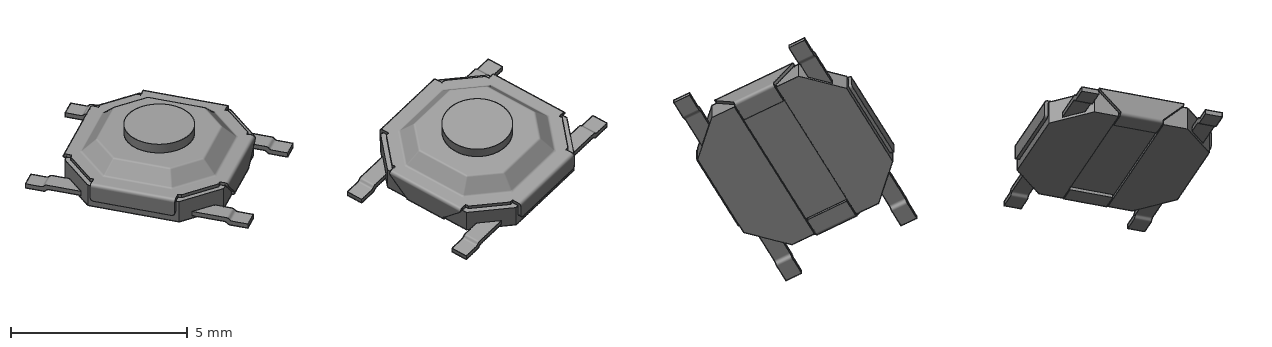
import cadquery as cq
import math

half_length = 3.3
cover_half_x = 2.455
cover_half_y = 2.5

sheet = 0.1
bend_radius = sheet
cover_top = 0.8
body_top = cover_top - sheet
body_half_x = cover_half_x - sheet
body_half_y = cover_half_y - sheet
body_chamfer = 1.0

plate_half = 2.2
plate_chamfer = 0.845
flap_half_width = 1.255
flap_bottom = 0.25
flap_corner_radius = 0.1

tab_half_width = 0.64
tab_length = 0.5
groove_half_width = 0.67

dome_half = 1.99
dome_chamfer = 0.985
dome_top = 1.2
dome_slope = 45.0
dome_radius = 0.1
button_radius = 1.0
button_top = 1.5

lead_width = 0.51
lead_center_y = 1.855
lead_thickness = 0.145
lead_rise = 0.085
step_start_x = 2.79
step_angle = 45.0
step_radius = 0.09
lead_inner_x = 1.32


def chamfered_rectangle(half_x, half_y, chamfer, z):
    """Sketch a rectangle with 45 degree corners at height z."""
    short_x = half_x - chamfer
    short_y = half_y - chamfer
    return cq.Workplane("XY", origin=(0, 0, z)).polyline([
        (half_x, -short_y), (half_x, short_y),
        (short_x, half_y), (-short_x, half_y),
        (-half_x, short_y), (-half_x, -short_y),
        (-short_x, -half_y), (short_x, -half_y),
    ]).close()


def make_body():
    body = chamfered_rectangle(body_half_x, body_half_y, body_chamfer, 0).extrude(body_top)
    groove = cq.Workplane("XY").box(
        2 * body_half_x, 2 * groove_half_width, sheet, centered=(True, True, False))
    return body.cut(groove)


def make_x_flap():
    """Flap on +X: bent down from the plate, tapered, and folded under the body."""
    strip = (
        cq.Workplane("XZ")
        .moveTo(0, body_top)
        .lineTo(body_half_x, body_top)
        .lineTo(body_half_x, sheet)
        .lineTo(body_half_x - tab_length, sheet)
        .lineTo(body_half_x - tab_length, 0)
        .lineTo(cover_half_x, 0)
        .lineTo(cover_half_x, cover_top)
        .lineTo(0, cover_top)
        .close()
        .extrude(flap_half_width, both=True)
        .edges("|Y and >X").fillet(bend_radius)
    )
    outline = (
        cq.Workplane("YZ")
        .polyline([
            (-tab_half_width, 0), (tab_half_width, 0),
            (tab_half_width, sheet), (flap_half_width, body_top),
            (flap_half_width, cover_top), (-flap_half_width, cover_top),
            (-flap_half_width, body_top), (-tab_half_width, sheet),
        ])
        .close()
        .extrude(cover_half_x)
    )
    shoulders = cq.selectors.BoxSelector(
        (0, -cover_half_y, body_top - sheet / 2),
        (cover_half_x, cover_half_y, body_top + sheet / 2))
    outline = outline.edges("|X").edges(shoulders).fillet(flap_corner_radius)
    ledge = cq.Workplane("XY", origin=(0, 0, body_top)).box(
        body_half_x, 2 * flap_half_width, sheet, centered=(False, True, False))
    return strip.intersect(outline).union(ledge)


def make_y_flap():
    """Flap on +Y: bent down from the plate, with rounded lower corners."""
    ledge = cq.Workplane("XY", origin=(0, 0, body_top)).box(
        2 * flap_half_width, cover_half_y, sheet, centered=(True, False, False))
    skirt = cq.Workplane("XY", origin=(0, body_half_y, flap_bottom)).box(
        2 * flap_half_width, sheet, cover_top - flap_bottom, centered=(True, False, False))
    skirt = skirt.edges("|Y and <Z").fillet(flap_corner_radius)
    return ledge.union(skirt).edges("|X and >Y and >Z").fillet(bend_radius)


def make_domed_plate():
    """Octagonal top plate with the dome rising from it through a rounded foot."""
    plate = chamfered_rectangle(plate_half, plate_half, plate_chamfer, body_top).extrude(sheet)
    dome = chamfered_rectangle(dome_half, dome_half, dome_chamfer, cover_top).extrude(
        dome_top - cover_top, taper=dome_slope)
    dome = dome.edges("not <Z").fillet(dome_radius)
    foot_reach = (dome_half + plate_half) / 2
    foot = cq.selectors.BoxSelector(
        (-foot_reach, -foot_reach, cover_top - sheet / 2),
        (foot_reach, foot_reach, cover_top + sheet / 2),
        boundingbox=True)
    return plate.union(dome).edges(foot).fillet(dome_radius)


def make_cover():
    cover = make_domed_plate()
    for flap in (make_x_flap(), make_y_flap()):
        for turn in (0, 180):
            cover = cover.union(flap.rotate((0, 0, 0), (0, 0, 1), turn))
    return cover


def make_button():
    return cq.Workplane("XY", origin=(0, 0, cover_top)).circle(button_radius).extrude(
        button_top - cover_top)


def make_lead():
    """Lead at +X +Y: a foot on the ground, a 45 degree step up, then a flat into the body."""
    shift = lead_thickness * math.tan(math.radians(step_angle / 2))
    under_start_x = step_start_x - shift
    upper_top = lead_rise + lead_thickness
    lead = (
        cq.Workplane("XZ", origin=(0, lead_center_y, 0))
        .polyline([
            (half_length, 0), (half_length, lead_thickness),
            (step_start_x, lead_thickness), (step_start_x - lead_rise, upper_top),
            (lead_inner_x, upper_top), (lead_inner_x, lead_rise),
            (under_start_x - lead_rise, lead_rise), (under_start_x, 0),
        ])
        .close()
        .extrude(lead_width / 2, both=True)
    )
    step_edges = cq.selectors.BoxSelector(
        (under_start_x - 2 * lead_rise, 0, -lead_rise),
        (step_start_x + lead_rise, 2 * lead_center_y, upper_top + lead_rise))
    return lead.edges("|Y").edges(step_edges).fillet(step_radius)


lead_pair = make_lead().union(make_lead().mirror("XZ"))

result = (
    make_body()
    .union(make_cover())
    .union(make_button())
    .union(lead_pair)
    .union(lead_pair.mirror("YZ"))
    .solids()
)